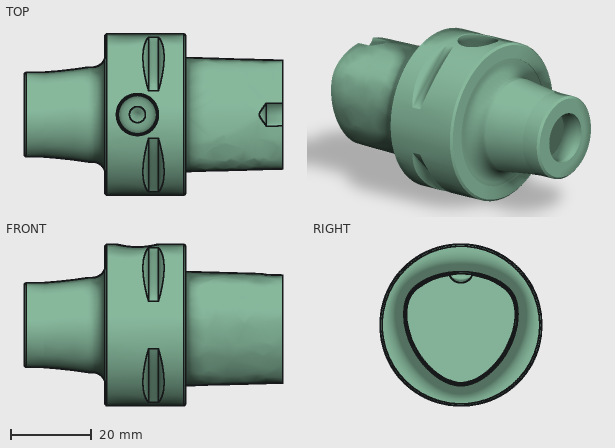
import cadquery as cq
import math

total_length = 64.0
nose_length = 4.9
taper_end_x = 16.0
fillet_start_x = 16.95
collar_start_x = 20.0
collar_end_x = 40.0

nose_diameter = 21.0
nose_chamfer = 0.5
taper_diameter = 23.5
taper_bulge = 0.1
collar_diameter = 40.0
collar_chamfer = 0.5
root_fillet_radius = 3.2
recess_outer_radius = 16.1

bore_diameter = 12.5
bore_depth = 5.7

shank_diameter = 28.3
shank_end_diameter = 26.9
lobe_offset = 0.9
section_point_count = 48
shank_overlap = 1.3

groove_count = 4
groove_x = 32.0
groove_floor_width = 2.4
groove_mouth_width = 5.25
groove_floor_radius = 17.65

pocket_x = 28.0
pocket_diameter = 10.0
pocket_floor_diameter = 9.5
pocket_depth = 5.1
pocket_mouth_chamfer = 0.2
center_mark_diameter = 4.0
drill_point_angle = 118.0

notch_diameter = 6.0
notch_length = 4.1
notch_z = 13.45
notch_point_angle = 105.0

collar_radius = collar_diameter / 2
drill_point_slope = math.tan(math.radians(drill_point_angle / 2))
notch_point_slope = math.tan(math.radians(notch_point_angle / 2))


def make_turned_body():
    """Revolve the nose, concave neck, recessed root fillet and collar about X."""
    nose_radius = nose_diameter / 2
    taper_radius = taper_diameter / 2
    recess_x = fillet_start_x + root_fillet_radius
    fillet_end_radius = taper_radius + root_fillet_radius
    diagonal_reach = root_fillet_radius * math.sqrt(0.5)
    fillet_mid = (fillet_start_x + diagonal_reach, fillet_end_radius - diagonal_reach)
    neck_mid = (
        (nose_length + taper_end_x) / 2,
        (nose_radius + taper_radius) / 2 - taper_bulge,
    )
    profile = (
        cq.Workplane("XY")
        .moveTo(0, 0)
        .lineTo(0, nose_radius - nose_chamfer)
        .lineTo(nose_chamfer, nose_radius)
        .lineTo(nose_length, nose_radius)
        .threePointArc(neck_mid, (taper_end_x, taper_radius))
        .lineTo(fillet_start_x, taper_radius)
        .threePointArc(fillet_mid, (recess_x, fillet_end_radius))
        .lineTo(recess_x, recess_outer_radius)
        .lineTo(collar_start_x, recess_outer_radius)
        .lineTo(collar_start_x, collar_radius - collar_chamfer)
        .lineTo(collar_start_x + collar_chamfer, collar_radius)
        .lineTo(collar_end_x - collar_chamfer, collar_radius)
        .lineTo(collar_end_x, collar_radius - collar_chamfer)
        .lineTo(collar_end_x, 0)
        .close()
    )
    return profile.revolve(360, (0, 0, 0), (1, 0, 0))


def lobe_point(diameter, angle):
    """Point (Y, Z) on the three-lobed section, with one lobe pointing to -Z."""
    y = -diameter / 2 * math.sin(angle) - lobe_offset * (2 * math.sin(2 * angle) + math.sin(4 * angle))
    z = diameter / 2 * math.cos(angle) - lobe_offset * (2 * math.cos(2 * angle) - math.cos(4 * angle))
    return y, z


def lobe_wire(diameter, x):
    """Closed smooth outline of the three-lobed section at the given X."""
    step = 2 * math.pi / section_point_count
    points = [lobe_point(diameter, index * step) for index in range(section_point_count)]
    edge = cq.Edge.makeSpline([cq.Vector(x, y, z) for y, z in points], periodic=True)
    return cq.Wire.assembleEdges([edge])


def make_shank():
    """Loft the three-lobed section from inside the collar to the shank end."""
    start_wire = lobe_wire(shank_diameter, collar_end_x - shank_overlap)
    end_wire = lobe_wire(shank_end_diameter, total_length)
    return cq.Workplane(cq.Solid.makeLoft([start_wire, end_wire], True))


def make_groove():
    """Trapezoidal cutter for one straight groove across the top of the collar."""
    floor_half = groove_floor_width / 2
    mouth_half = groove_mouth_width / 2
    return (
        cq.Workplane("XZ")
        .polyline([
            (groove_x - floor_half, groove_floor_radius),
            (groove_x + floor_half, groove_floor_radius),
            (groove_x + mouth_half, collar_radius),
            (groove_x - mouth_half, collar_radius),
        ])
        .close()
        .extrude(collar_radius, both=True)
    )


def make_pocket():
    """Round pocket with a chamfered floor edge and a conical center mark."""
    radius = pocket_diameter / 2
    floor_radius = pocket_floor_diameter / 2
    mark_radius = center_mark_diameter / 2
    floor_z = collar_radius - pocket_depth
    profile = (
        cq.Workplane("XZ", origin=(pocket_x, 0, 0))
        .polyline([
            (0, collar_radius),
            (radius, collar_radius),
            (radius, floor_z + radius - floor_radius),
            (floor_radius, floor_z),
            (mark_radius, floor_z),
            (0, floor_z - mark_radius / drill_point_slope),
        ])
        .close()
    )
    return profile.revolve(360, (0, 0, 0), (0, 1, 0))


def make_notch():
    """Drill shape entering the shank end along X, with a conical point."""
    radius = notch_diameter / 2
    shoulder_x = total_length - notch_length
    profile = (
        cq.Workplane("XZ", origin=(0, 0, notch_z))
        .polyline([
            (total_length, 0),
            (total_length, radius),
            (shoulder_x, radius),
            (shoulder_x - radius / notch_point_slope, 0),
        ])
        .close()
    )
    return profile.revolve(360, (0, 0, 0), (1, 0, 0))


result = make_turned_body().union(make_shank())

bore = cq.Workplane("YZ").circle(bore_diameter / 2).extrude(bore_depth)
result = result.cut(bore)

groove = make_groove()
groove_spacing = 360 / groove_count
for index in range(groove_count):
    groove_angle = groove_spacing * (index + 0.5)
    result = result.cut(groove.rotate((0, 0, 0), (1, 0, 0), groove_angle))

result = result.cut(make_pocket())
pocket_axis_edges = [
    edge for edge in result.edges().vals()
    if abs(edge.BoundingBox().center.x - pocket_x) < pocket_mouth_chamfer
]
mouth_edge = max(pocket_axis_edges, key=lambda edge: edge.BoundingBox().zmin)
result = result.newObject([mouth_edge]).chamfer(pocket_mouth_chamfer)

result = result.cut(make_notch())